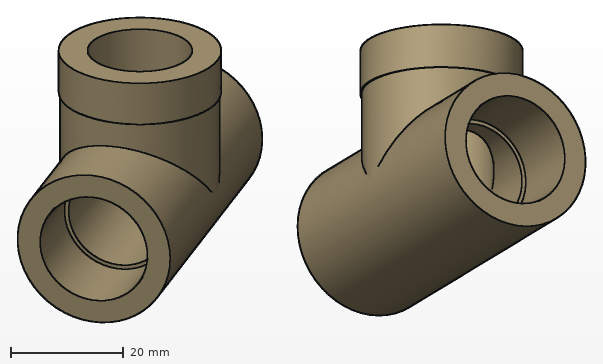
import cadquery as cq

run_length = 55.0
pipe_diameter = 28.5
collar_diameter = 29.0
collar_height = 8.05
branch_height = 27.0
run_bore_diameter = 18.5
branch_bore_diameter = 18.65
socket_diameter = 20.0
socket_depth = 14.5


def run_cylinder(diameter, start, length):
    """Cylinder on the run axis, from y = start towards +Y."""
    plane = cq.Workplane("XZ", origin=(0, start, 0))
    return plane.circle(diameter / 2).extrude(-length)


def branch_cylinder(diameter, start, length):
    """Cylinder on the branch axis, from z = start upwards."""
    plane = cq.Workplane("XY", origin=(0, 0, start))
    return plane.circle(diameter / 2).extrude(length)


run = run_cylinder(pipe_diameter, -run_length / 2, run_length)
branch = branch_cylinder(pipe_diameter, 0, branch_height)
collar = branch_cylinder(collar_diameter, branch_height - collar_height, collar_height)
body = run.union(branch).union(collar)

body = body.cut(run_cylinder(run_bore_diameter, -run_length / 2, run_length))
body = body.cut(branch_cylinder(branch_bore_diameter, 0, branch_height))

for socket_start in (-run_length / 2, run_length / 2 - socket_depth):
    body = body.cut(run_cylinder(socket_diameter, socket_start, socket_depth))

result = body